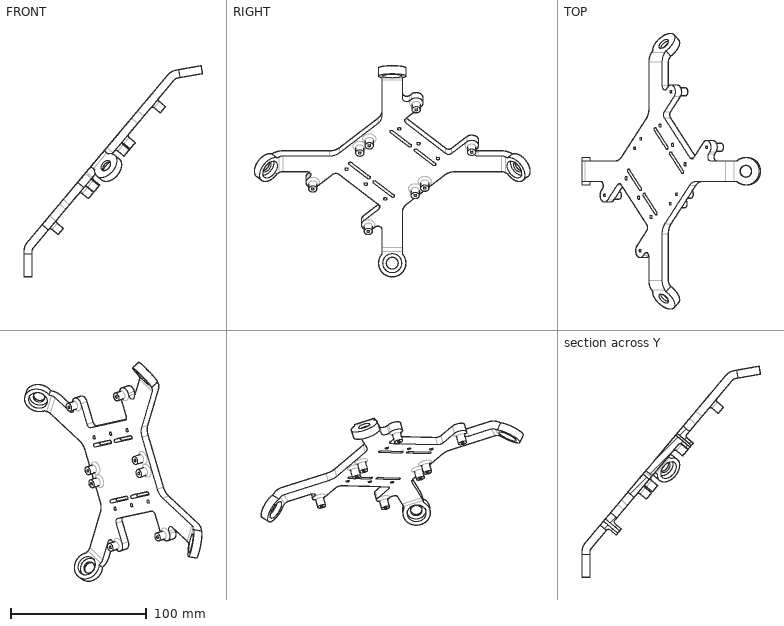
import cadquery as cq
import math

tilt_angle = 50.0

thickness = 6.0
plate_side = 70.0

arm_angle = 45.0
arm_width = 15.2
bend_start = 80.5
bend_angle = 40.0
bend_outer_radius = 10.5
bend_to_eye = 8.5
eye_diameter = 20.3
eye_hole_diameter = 8.5
eye_recess_diameter = 14.0
eye_lip_thickness = 2.0
arm_corner_radius = 10.2

lug_along = 28.9
lug_across = 53.9
lug_radius = 5.0
lug_corner_radius = 3.0

pin_diameter = 6.0
pin_height = 7.7
pin_root_radius = 1.8
pin_hole_diameter = 1.93
end_pin_across = 4.98

side_hole_diameter = 2.5
side_hole_across = 27.5
side_hole_pitch = 20.1
slot_across = 21.5
slot_along = 12.6
slot_length = 21.5
slot_width = 2.5

SIGNS = (1, -1)


def mirrored(along, across):
    """The four mirror images of a point about the plate centre."""
    return [(i * along, j * across) for i in SIGNS for j in SIGNS]


def lugged_plate():
    """Square plate with four round-ended lugs, top face at Z = 0."""
    plate = cq.Workplane("XY").rect(plate_side, plate_side).extrude(-thickness)
    for i in SIGNS:
        lug_pair = (
            cq.Workplane("XY")
            .center(i * lug_along, 0)
            .slot2D(2 * (lug_across + lug_radius), 2 * lug_radius, 90)
            .extrude(-thickness)
        )
        plate = plate.union(lug_pair)
    return plate


def arm():
    """Arm along +X with a bent-down eyelet at its end."""
    bend = math.radians(bend_angle)
    inner_radius = bend_outer_radius - thickness

    def on_bend(radius, angle):
        return (bend_start + radius * math.sin(angle), radius * math.cos(angle) - bend_outer_radius)

    def past_bend(radius):
        x, z = on_bend(radius, bend)
        return (x + bend_to_eye * math.cos(bend), z - bend_to_eye * math.sin(bend))

    strip = (
        cq.Workplane("XZ")
        .moveTo(0, 0)
        .lineTo(bend_start, 0)
        .threePointArc(on_bend(bend_outer_radius, bend / 2), on_bend(bend_outer_radius, bend))
        .lineTo(*past_bend(bend_outer_radius))
        .lineTo(*past_bend(inner_radius))
        .lineTo(*on_bend(inner_radius, bend))
        .threePointArc(on_bend(inner_radius, bend / 2), on_bend(inner_radius, 0))
        .lineTo(0, -thickness)
        .close()
        .extrude(arm_width / 2, both=True)
    )
    eye_x, eye_z = past_bend(bend_outer_radius)
    eye_plane = cq.Plane(
        origin=(eye_x, 0, eye_z),
        xDir=(math.cos(bend), 0, -math.sin(bend)),
        normal=(math.sin(bend), 0, math.cos(bend)),
    )
    chord_half = math.sqrt((eye_diameter / 2) ** 2 - bend_to_eye**2)
    eye = (
        cq.Workplane(eye_plane)
        .moveTo(-bend_to_eye, -chord_half)
        .threePointArc((eye_diameter / 2, 0), (-bend_to_eye, chord_half))
        .close()
        .extrude(-thickness)
    )
    hole = cq.Workplane(eye_plane).circle(eye_hole_diameter / 2).extrude(-thickness)
    recess = (
        cq.Workplane(eye_plane)
        .workplane(offset=-thickness)
        .circle(eye_recess_diameter / 2)
        .extrude(thickness - eye_lip_thickness)
    )
    return strip.union(eye).cut(hole).cut(recess)


def round_corners(body, points, radius):
    """Fillet the upright edges that pass through the given points."""
    for x, y in points:
        edge = cq.selectors.NearestToPointSelector((x, y, -thickness / 2))
        body = body.edges("|Z").edges(edge).fillet(radius)
    return body


frame = lugged_plate()
for quarter in range(4):
    frame = frame.union(arm().rotate((0, 0, 0), (0, 0, 1), arm_angle + 90 * quarter))

arm_side_offset = arm_width / 2 * math.sqrt(2)
plate_edge = plate_side / 2
lug_inner = lug_along - lug_radius
lug_outer = lug_along + lug_radius
arm_corners = mirrored(plate_edge, plate_edge - arm_side_offset)
lug_roots = mirrored(lug_inner, plate_edge)
lug_notches = mirrored(lug_outer, lug_outer + arm_side_offset)
frame = round_corners(frame, arm_corners, arm_corner_radius)
frame = round_corners(frame, lug_roots, lug_corner_radius)
frame = round_corners(frame, lug_notches, lug_corner_radius)

pin_points = mirrored(lug_along, lug_across) + mirrored(lug_along, end_pin_across)
pin_depth = thickness + pin_height
pins = cq.Workplane("XY").pushPoints(pin_points).circle(pin_diameter / 2).extrude(-pin_depth)
pin_holes = cq.Workplane("XY").pushPoints(pin_points).circle(pin_hole_diameter / 2).extrude(-pin_depth)
frame = frame.union(pins)
for along, across in pin_points:
    pin_root = cq.selectors.NearestToPointSelector((along, across, -thickness))
    frame = frame.edges("%CIRCLE").edges(pin_root).fillet(pin_root_radius)
frame = frame.cut(pin_holes)

side_hole_points = [(i * side_hole_pitch, j * side_hole_across) for i in (-1, 0, 1) for j in SIGNS]
side_holes = (
    cq.Workplane("XY").pushPoints(side_hole_points).circle(side_hole_diameter / 2).extrude(-thickness)
)
slots = (
    cq.Workplane("XY")
    .pushPoints(mirrored(slot_along, slot_across))
    .slot2D(slot_length, slot_width)
    .extrude(-thickness)
)
frame = frame.cut(side_holes).cut(slots)

result = frame.rotate((0, 0, 0), (0, 0, 1), -arm_angle).rotate((0, 0, 0), (0, 1, 0), -tilt_angle)